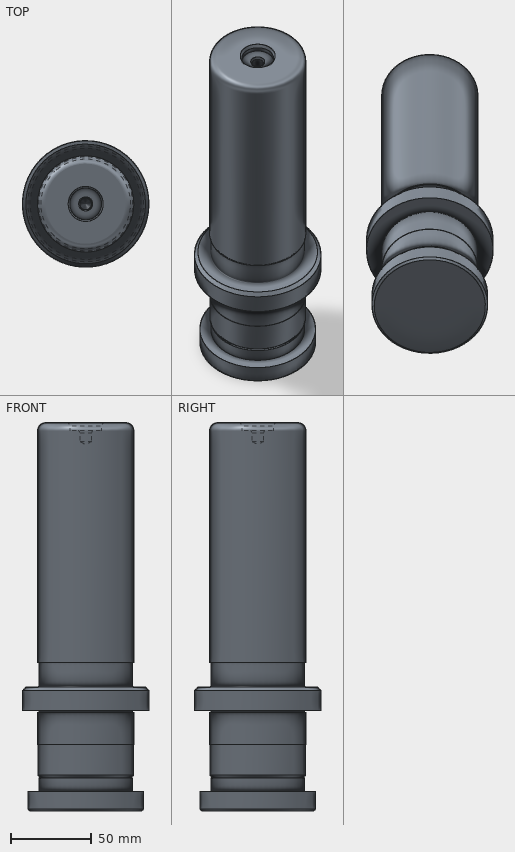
import cadquery as cq
import math

total_height = 242.0

pin_radius = 30.0
nose_round = 5.0
neck_radius = 29.3
neck_top = 92.7

flange_radius = 39.5
flange_bottom = 62.7
flange_top = 77.2
flange_chamfer = 2.2
neck_fillet = 0.7

relief_radius = 29.3
relief_height = 1.2
mount_clearance = 0.12
mount_radius = pin_radius - mount_clearance
mount_top = 41.6
mount_chamfer = 2.0

recess_radius = 10.0
recess_depth = 4.8
recess_mouth_radius = 11.0
recess_mouth_depth = 2.2
bore_mouth_radius = 4.4
bore_mouth_depth = 1.5
bore_radius = 3.6
bore_depth = 6.8
bore_tip_half_angle = 60.0

collar_radius = 36.0
collar_height = 12.3
collar_chamfer_width = 1.5
collar_chamfer_height = 1.2
hub_radius = 29.3
hub_top = 20.5


def make_pin_blank():
    """Turned pin with its flange, revolved about Z from a half profile (radius, height)."""
    nose_center_radius = pin_radius - nose_round
    nose_start = total_height - nose_round
    nose_diagonal = nose_round * math.sqrt(0.5)
    fillet_offset = neck_fillet * (1 - math.sqrt(0.5))
    return (
        cq.Workplane("XZ")
        .moveTo(0, hub_top)
        .lineTo(mount_radius - mount_chamfer, hub_top)
        .lineTo(mount_radius, hub_top + mount_chamfer)
        .lineTo(mount_radius, mount_top)
        .lineTo(pin_radius, mount_top)
        .lineTo(pin_radius, flange_bottom - relief_height)
        .lineTo(relief_radius, flange_bottom - relief_height)
        .lineTo(relief_radius, flange_bottom)
        .lineTo(flange_radius, flange_bottom)
        .lineTo(flange_radius, flange_top - flange_chamfer)
        .lineTo(flange_radius - flange_chamfer, flange_top)
        .lineTo(neck_radius + neck_fillet, flange_top)
        .threePointArc(
            (neck_radius + fillet_offset, flange_top + fillet_offset),
            (neck_radius, flange_top + neck_fillet),
        )
        .lineTo(neck_radius, neck_top)
        .lineTo(pin_radius, neck_top)
        .lineTo(pin_radius, nose_start)
        .threePointArc(
            (nose_center_radius + nose_diagonal, nose_start + nose_diagonal),
            (nose_center_radius, total_height),
        )
        .lineTo(0, total_height)
        .close()
        .revolve(360, (0, 0, 0), (0, 1, 0))
    )


def make_center_hole():
    """Tapered mouth, flat-floored recess and a small countersunk bore with a drill point."""
    recess_floor = total_height - recess_depth
    bore_floor = recess_floor - bore_depth
    tip_height = bore_radius / math.tan(math.radians(bore_tip_half_angle))
    return (
        cq.Workplane("XZ")
        .moveTo(0, bore_floor - tip_height)
        .lineTo(bore_radius, bore_floor)
        .lineTo(bore_radius, recess_floor - bore_mouth_depth)
        .lineTo(bore_mouth_radius, recess_floor)
        .lineTo(recess_radius, recess_floor)
        .lineTo(recess_radius, total_height - recess_mouth_depth)
        .lineTo(recess_mouth_radius, total_height)
        .lineTo(0, total_height)
        .close()
        .revolve(360, (0, 0, 0), (0, 1, 0))
    )


def make_collar():
    """Retaining collar: wide disc chamfered underneath, with a hub against the pin end."""
    return (
        cq.Workplane("XZ")
        .lineTo(collar_radius - collar_chamfer_width, 0)
        .lineTo(collar_radius, collar_chamfer_height)
        .lineTo(collar_radius, collar_height)
        .lineTo(hub_radius, collar_height)
        .lineTo(hub_radius, hub_top)
        .lineTo(0, hub_top)
        .close()
        .revolve(360, (0, 0, 0), (0, 1, 0))
    )


guide_pin = make_pin_blank().cut(make_center_hole())
retaining_collar = make_collar()

result = cq.Compound.makeCompound([guide_pin.val(), retaining_collar.val()])